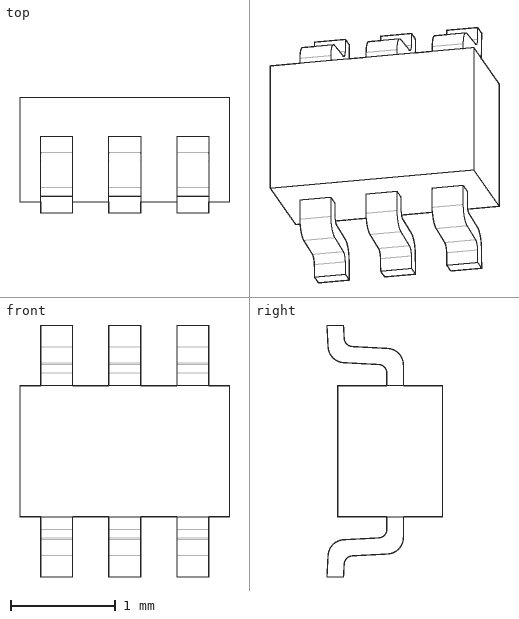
import cadquery as cq
import math

body_width = 2.0
body_depth = 1.0
body_height = 1.25

overall_height = 2.4
lead_count = 3
lead_pitch = 0.65
lead_width = 0.305
lead_thickness = 0.16
lead_center_y = 0.047
foot_standoff = 0.104
lead_tilt = 3.0
arm_root_height = 0.897
outer_bend_radius = 0.16
inner_bend_radius = 0.08

lead_end_z = overall_height / 2
toe_y = -body_depth / 2 - foot_standoff
tilt_slope = math.tan(math.radians(lead_tilt))
tilted_thickness = lead_thickness / math.cos(math.radians(lead_tilt))


def arm_z(y, offset):
    """Height at y of the arm face lying offset above its mid-line; it rises toward -Y."""
    return arm_root_height + offset + (lead_center_y - y) * tilt_slope


def foot_corner(y_at_end, offset):
    """Point where a foot face, starting at y_at_end on the lead end, meets an arm face."""
    drop = lead_end_z - arm_z(y_at_end, offset)
    z = lead_end_z - drop / (1 - tilt_slope**2)
    return (y_at_end + (lead_end_z - z) * tilt_slope, z)


def make_lead(x_center):
    """Gull-wing lead on the +Z end: straight shank, sloping arm and tilted foot."""
    shank_back = lead_center_y + lead_thickness / 2
    shank_front = lead_center_y - lead_thickness / 2
    half_arm = tilted_thickness / 2
    heel_y = toe_y + tilted_thickness

    back_bend = (shank_back, arm_z(shank_back, half_arm))
    front_bend = (shank_front, arm_z(shank_front, -half_arm))
    heel_bend = foot_corner(heel_y, half_arm)
    toe_bend = foot_corner(toe_y, -half_arm)

    outline = [
        (shank_back, 0),
        back_bend,
        heel_bend,
        (heel_y, lead_end_z),
        (toe_y, lead_end_z),
        toe_bend,
        front_bend,
        (shank_front, 0),
    ]
    lead = (
        cq.Workplane("YZ", origin=(x_center - lead_width / 2, 0, 0))
        .polyline(outline)
        .close()
        .extrude(lead_width)
    )
    bends = (
        (back_bend, outer_bend_radius),
        (toe_bend, outer_bend_radius),
        (heel_bend, inner_bend_radius),
        (front_bend, inner_bend_radius),
    )
    for (y, z), radius in bends:
        lead = lead.edges(cq.NearestToPointSelector((x_center, y, z))).fillet(radius)
    return lead


result = cq.Workplane("XY").box(body_width, body_depth, body_height)
for index in range(lead_count):
    upper_lead = make_lead((index - (lead_count - 1) / 2) * lead_pitch)
    result = result.union(upper_lead).union(upper_lead.mirror("XY"))